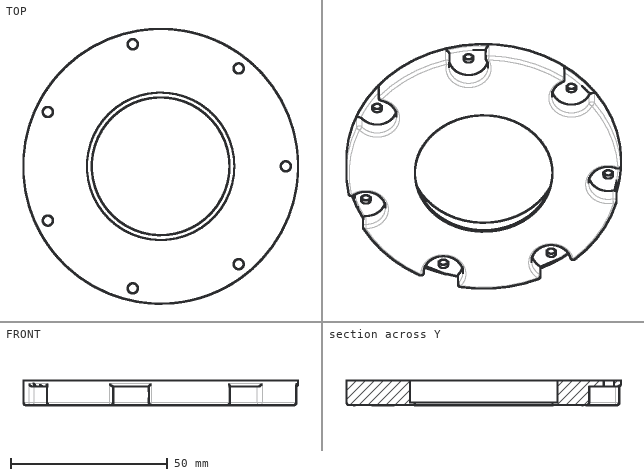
import cadquery as cq
import math

outer_diameter = 88.0
height = 8.0
bore_diameter = 47.2
lip_bore_diameter = 44.0
lip_height = 1.0
hole_count = 7
hole_diameter = 3.2
hole_circle_radius = 40.0
flange_thickness = 2.0
pocket_radius = 6.25
edge_rounding = 1.0

outer_radius = outer_diameter / 2
flange_bottom = height - flange_thickness
tolerance = 0.01


def cylinder(diameter, bottom, top):
    """Cylinder on the Z axis between two heights."""
    return cq.Workplane("XY").workplane(offset=bottom).circle(diameter / 2).extrude(top - bottom)


def hole_pattern(diameter):
    """Full-height cylinders on the screw circle, the first one on +X."""
    return (
        cq.Workplane("XY")
        .polarArray(hole_circle_radius, 0, 360, hole_count)
        .circle(diameter / 2)
        .extrude(height)
    )


def needs_rounding(edge):
    """True for the bottom outline and for the upright pocket edges on the rim."""
    in_bottom = edge.BoundingBox().zmax < tolerance
    upright = edge.geomType() == "LINE"
    on_rim = all(
        math.isclose(math.hypot(v.X, v.Y), outer_radius, abs_tol=tolerance) for v in edge.Vertices()
    )
    return in_bottom or (upright and on_rim)


def scalloped_body():
    """Solid disc with round pockets in its rim, rounded at the bottom and the pocket mouths."""
    body = cylinder(outer_diameter, 0, height).cut(hole_pattern(2 * pocket_radius))
    rounded_edges = [edge for edge in body.edges().vals() if needs_rounding(edge)]
    return body.newObject(rounded_edges).fillet(edge_rounding)


def flange():
    """Full disc that roofs the pockets, with its lower rim rounded."""
    return cylinder(outer_diameter, flange_bottom, height).faces("<Z").edges().fillet(edge_rounding)


lip_bore = cylinder(lip_bore_diameter, 0, height)
bore = cylinder(bore_diameter, lip_height, height)

result = (
    scalloped_body()
    .union(flange())
    .cut(lip_bore)
    .cut(bore)
    .cut(hole_pattern(hole_diameter))
)